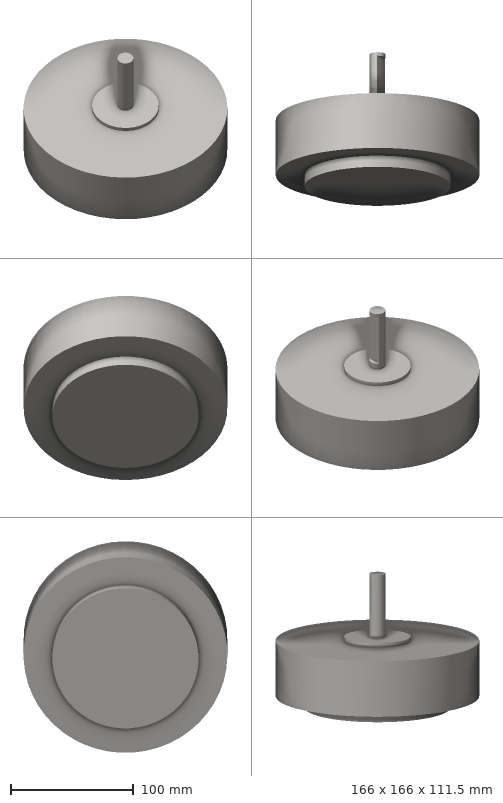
import cadquery as cq

total_height = 111.5

base_diameter = 119.0
base_height = 9.5
body_diameter = 166.0
body_height = 46.3
collar_diameter = 54.3
collar_height = 3.3

shaft_diameter = 13.0
shaft_height = total_height - base_height - body_height - collar_height
flat_depth = 3.2
flat_top_margin = 3.0
flat_bottom_margin = 5.5
flat_length = shaft_height - flat_top_margin - flat_bottom_margin


def add_disc(stack, diameter, height):
    """Stack a concentric cylinder on the top face."""
    return stack.faces(">Z").workplane().circle(diameter / 2).extrude(height)


result = cq.Workplane("XY").circle(base_diameter / 2).extrude(base_height)
for diameter, height in (
    (body_diameter, body_height),
    (collar_diameter, collar_height),
    (shaft_diameter, shaft_height),
):
    result = add_disc(result, diameter, height)

flat_cutter = (
    cq.Workplane("XY")
    .box(shaft_diameter, shaft_diameter, flat_length, centered=(True, False, False))
    .translate((0, shaft_diameter / 2 - flat_depth, total_height - flat_top_margin - flat_length))
)
result = result.cut(flat_cutter)